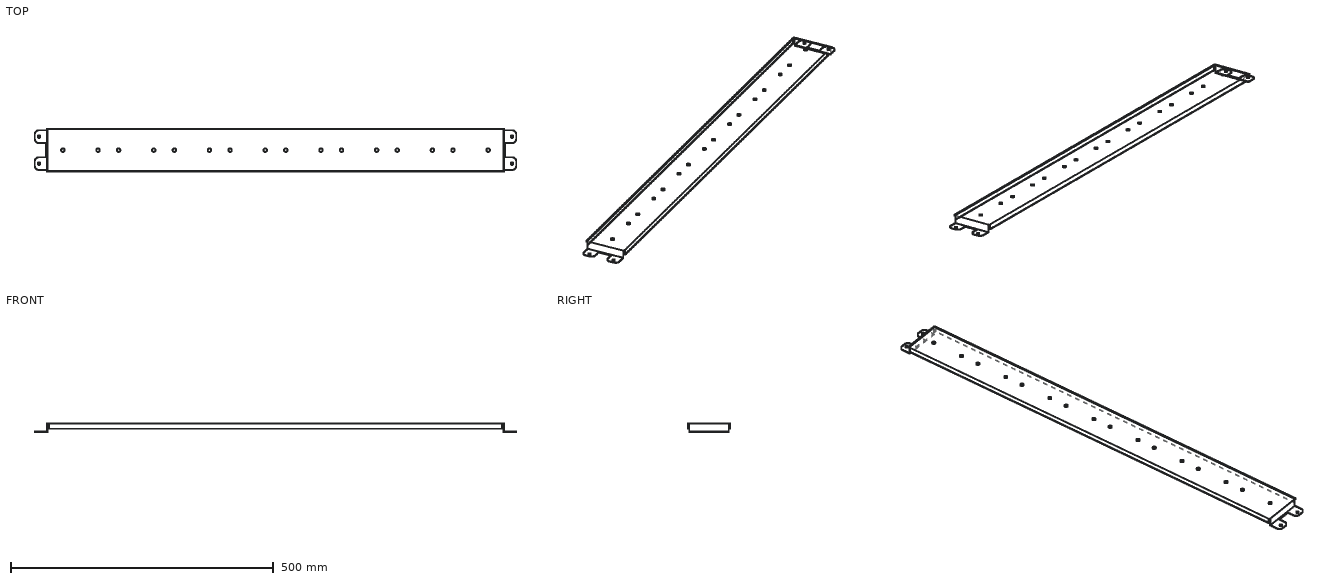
import cadquery as cq

length = 916
width = 81.5
height = 17.0
sheet = 1.5

plate_length = 869.0
side_depth = 11.0
side_inset = 4.0

wall_width = 76.0
foot_lip = 2.0
tab_width = 25.0
tab_corner = 8.0
tab_hole_diameter = 5.0
tab_hole_edge = 8.0

pair_count = 8
hole_row_length = 809.0
pair_spacing = 67.0
hole_diameter = 6.0

pair_pitch = (hole_row_length - pair_spacing) / (pair_count - 1)
tab_y = (wall_width - tab_width) / 2
wall_outer = plate_length / 2
wall_inner = wall_outer - sheet


def block(x_range, y_range, z_range):
    """Box spanning the given coordinate ranges."""
    size = [high - low for low, high in (x_range, y_range, z_range)]
    corner = (x_range[0], y_range[0], z_range[0])
    return cq.Workplane("XY").box(*size, centered=False).translate(corner)


def make_channel():
    """Top plate and its two side flanges, which stop short of the plate ends."""
    plate = block((-wall_outer, wall_outer), (-width / 2, width / 2), (height - sheet, height))
    flange_end = wall_outer - side_inset
    flange = block(
        (-flange_end, flange_end),
        (-width / 2, sheet - width / 2),
        (height - side_depth, height),
    )
    return plate.union(flange).union(flange.mirror("XZ"))


def make_tab(y):
    """Foot tab at the +X end with rounded outer corners and a screw hole."""
    tab = block(
        (wall_inner, length / 2),
        (y - tab_width / 2, y + tab_width / 2),
        (0, sheet),
    )
    tab = tab.edges("|Z and >X").fillet(tab_corner)
    hole = (
        cq.Workplane("XY")
        .center(length / 2 - tab_hole_edge, y)
        .circle(tab_hole_diameter / 2)
        .extrude(sheet)
    )
    return tab.cut(hole)


def make_end():
    """End wall at the +X end, its narrow bottom lip and two foot tabs."""
    half_wall = wall_width / 2
    wall = block((wall_inner, wall_outer), (-half_wall, half_wall), (0, height))
    lip = block((wall_inner, wall_outer + foot_lip), (-half_wall, half_wall), (0, sheet))
    end = wall.union(lip)
    for y in (-tab_y, tab_y):
        end = end.union(make_tab(y))
    return end


def make_plate_holes():
    """Cutters for the evenly pitched hole pairs through the top plate."""
    points = []
    for pair in range(pair_count):
        pair_x = (pair - (pair_count - 1) / 2) * pair_pitch
        for side in (-1, 1):
            points.append((pair_x + side * pair_spacing / 2, 0))
    return (
        cq.Workplane("XY")
        .workplane(offset=height - sheet)
        .pushPoints(points)
        .circle(hole_diameter / 2)
        .extrude(sheet)
    )


end = make_end()
result = make_channel().union(end).union(end.mirror("YZ")).cut(make_plate_holes())